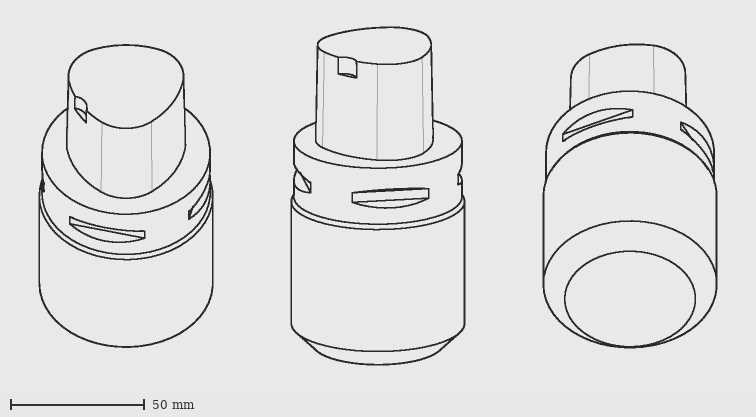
import cadquery as cq
import math

body_diameter = 65.0
flange_diameter = 63.0
bottom_chamfer = 8.0
body_top = 56.3
flange_bottom = 58.0
flange_top = 80.2
total_height = 118

lobe_radius = 23.4
flat_radius = 20.6
seam_radius = 22.2
seam_angle = 25.5
lobe_directions = (-30, 90, 210)
shank_inset_at_top = 0.7

notch_radius = 5.5
notch_reach = 17.8
notch_depth = 6.5

groove_height = 68.1
groove_floor_distance = 28.0
groove_floor_width = 3.8
groove_mouth_width = 7.4
groove_directions = (45, 135, 225, 315)


def polar(radius, angle):
    """Point at a distance from the axis and an angle in degrees."""
    radians = math.radians(angle)
    return (radius * math.cos(radians), radius * math.sin(radians))


def draw_shank_outline(plane, inset):
    """Closed outline of alternating lobe and flat arcs, drawn in towards the axis."""
    lobe = lobe_radius - inset
    flat = flat_radius - inset
    seam = seam_radius - inset
    outline = plane.moveTo(*polar(seam, lobe_directions[0] - seam_angle))
    for direction in lobe_directions:
        outline = outline.threePointArc(polar(lobe, direction), polar(seam, direction + seam_angle))
        next_lobe = direction + 120
        outline = outline.threePointArc(polar(flat, direction + 60), polar(seam, next_lobe - seam_angle))
    return outline.close()


def make_body():
    body_radius = body_diameter / 2
    flange_radius = flange_diameter / 2
    half_profile = [
        (0, 0),
        (body_radius - bottom_chamfer, 0),
        (body_radius, bottom_chamfer),
        (body_radius, body_top),
        (flange_radius, flange_bottom),
        (flange_radius, flange_top),
        (0, flange_top),
    ]
    return cq.Workplane("XZ").polyline(half_profile).close().revolve(360, (0, 0), (0, 1))


def make_shank():
    base = draw_shank_outline(cq.Workplane("XY").workplane(offset=flange_top), 0)
    top_plane = base.workplane(offset=total_height - flange_top)
    return draw_shank_outline(top_plane, shank_inset_at_top).loft(ruled=True, combine=True)


def make_notch():
    floor = cq.Workplane("XY").workplane(offset=total_height - notch_depth)
    return floor.center(0, -notch_reach - notch_radius).circle(notch_radius).extrude(notch_depth)


def make_groove(direction):
    """Straight groove with a flat floor and flared sides, facing the given direction."""
    flange_radius = flange_diameter / 2
    half_floor = groove_floor_width / 2
    half_mouth = groove_mouth_width / 2
    section = [
        (groove_floor_distance, groove_height - half_floor),
        (flange_radius, groove_height - half_mouth),
        (flange_radius, groove_height + half_mouth),
        (groove_floor_distance, groove_height + half_floor),
    ]
    groove = cq.Workplane("XZ").polyline(section).close().extrude(flange_radius, both=True)
    return groove.rotate((0, 0, 0), (0, 0, 1), direction)


result = make_body().union(make_shank()).cut(make_notch())
for groove_direction in groove_directions:
    result = result.cut(make_groove(groove_direction))